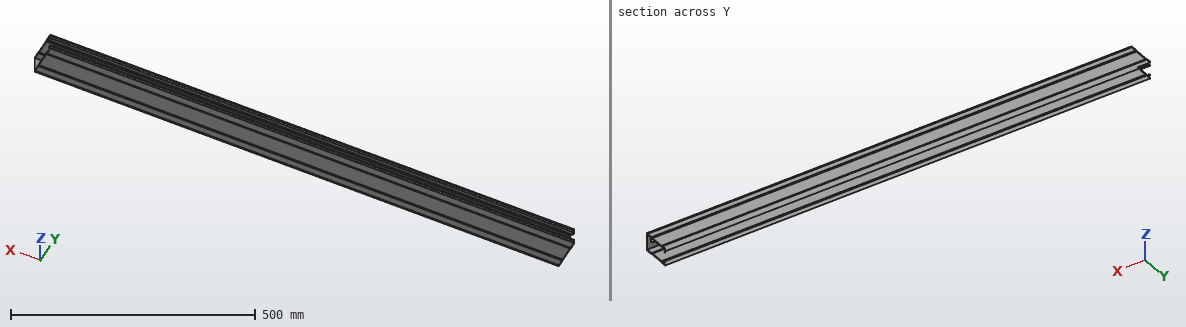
import cadquery as cq

LENGTH = 1200.0
DEPTH = 72.01
WIDTH = 41.3
SHEET = 1.5

MOUTH_WIDTH = 22.0
LIP_DEPTH = 6.5

JOG_INSET = 17.0
JOG_RUN = 1.5
JOG_DEPTH = 1.0

SLOT_PITCH = 50.0
SLOT_LENGTH = 30.0
SLOT_WIDTH = 13.5
SLOT_COUNT = round(LENGTH / SLOT_PITCH)

CUT_CLEARANCE = 1.0


def half_mid_line(side):
    """Sheet mid-line of the +Z (side=1) or -Z (side=-1) half, from web corner to lip tip."""
    flange_z = (WIDTH - SHEET) / 2
    recessed_z = flange_z - JOG_DEPTH
    lip_z = (MOUTH_WIDTH + SHEET) / 2
    wall_y = (DEPTH - SHEET) / 2
    lip_tip_y = DEPTH / 2 - LIP_DEPTH
    jog_outer_y = DEPTH / 2 - JOG_INSET
    jog_inner_y = jog_outer_y - JOG_RUN
    upper_half = [
        (-wall_y, flange_z),
        (-jog_outer_y, flange_z),
        (-jog_inner_y, recessed_z),
        (jog_inner_y, recessed_z),
        (jog_outer_y, flange_z),
        (wall_y, flange_z),
        (wall_y, lip_z),
        (lip_tip_y, lip_z),
    ]
    return [(y, side * z) for y, z in upper_half]


def channel_body():
    """Folded sheet of constant thickness, extruded over the full length."""
    mid_line = half_mid_line(1)[::-1] + half_mid_line(-1)
    return (
        cq.Workplane("YZ", origin=(-LENGTH / 2, 0, 0))
        .polyline(mid_line)
        .offset2D(SHEET / 2, "intersection")
        .extrude(LENGTH)
    )


def web_slots():
    """Cutters for the round-ended slots through the web, one centred in each pitch."""
    inner_face_y = SHEET - DEPTH / 2
    return (
        cq.Workplane("XZ", origin=(0, inner_face_y + CUT_CLEARANCE, 0))
        .rarray(SLOT_PITCH, SLOT_PITCH, SLOT_COUNT, 1)
        .slot2D(SLOT_LENGTH, SLOT_WIDTH)
        .extrude(SHEET + 2 * CUT_CLEARANCE)
    )


result = channel_body().cut(web_slots())